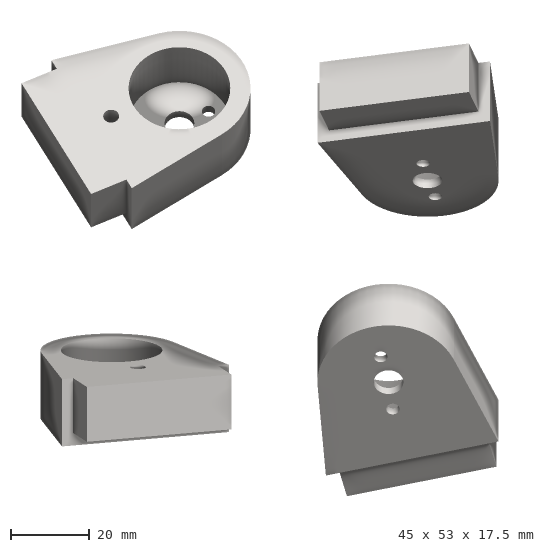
import cadquery as cq
import math

height = 17.5
head_radius = 18.0
shoulder_width = 45.0
shoulder_y = -24.95

total_length = 52.95
tongue_width = 38.95
tongue_height = 14.3
tongue_end_y = head_radius - total_length

bore_diameter = 25.75
bore_depth = 15.0
center_hole_diameter = 7.5
small_hole_diameter = 3.4
small_hole_centers = [(0, 8.25), (1.0, -8.5)]

blind_hole_diameter = 4.0
blind_hole_depth = 15.0
blind_hole_y = -19.4


def make_body():
    """Extrude the head, with straight sides tangent to its arc."""
    corner_x = shoulder_width / 2
    corner_distance = math.hypot(corner_x, shoulder_y)
    corner_angle = math.atan2(shoulder_y, corner_x)
    tangent_angle = corner_angle + math.acos(head_radius / corner_distance)
    tangent_x = head_radius * math.cos(tangent_angle)
    tangent_y = head_radius * math.sin(tangent_angle)
    return (
        cq.Workplane("XY")
        .moveTo(-corner_x, shoulder_y)
        .lineTo(corner_x, shoulder_y)
        .lineTo(tangent_x, tangent_y)
        .threePointArc((0, head_radius), (-tangent_x, tangent_y))
        .close()
        .extrude(height)
    )


def make_tongue():
    """Block from the end face to the shoulder."""
    tongue_length = shoulder_y - tongue_end_y
    return cq.Workplane("XY").box(
        tongue_width, tongue_length, tongue_height, centered=(True, False, False)
    ).translate((0, tongue_end_y, height - tongue_height))


def make_holes(centers, diameter, depth):
    """Cylinders reaching down from the top face."""
    return (
        cq.Workplane("XY", origin=(0, 0, height))
        .pushPoints(centers)
        .circle(diameter / 2)
        .extrude(-depth)
    )


result = (
    make_body()
    .union(make_tongue())
    .cut(make_holes([(0, 0)], bore_diameter, bore_depth))
    .cut(make_holes([(0, 0)], center_hole_diameter, height))
    .cut(make_holes(small_hole_centers, small_hole_diameter, height))
    .cut(make_holes([(0, blind_hole_y)], blind_hole_diameter, blind_hole_depth))
)